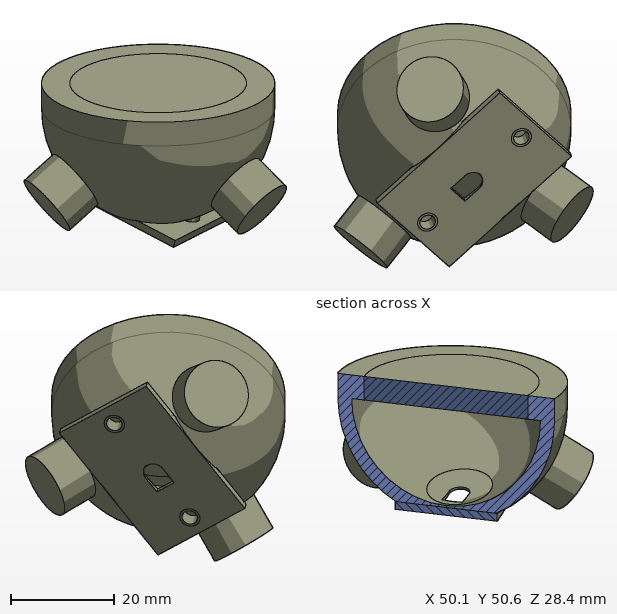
import cadquery as cq

BOWL_RADIUS = 22.5
CAVITY_RADIUS = 19.55
RIM_HEIGHT = 4.85
LID_RADIUS = 17.0

LEG_COUNT = 3
LEG_RADIUS = 6.5
LEG_REACH = 29.2
LEG_TILT = 35
LEG_PIVOT_Z = 0.45
LEG_START = 2 * LEG_RADIUS

PLATE_TILT = 15
PLATE_LENGTH = 32.4
PLATE_WIDTH = 21.0
PLATE_THICKNESS = 1.5
PLATE_BOTTOM = 20.0
PLATE_TOP = PLATE_BOTTOM - PLATE_THICKNESS

WINDOW_RADIUS = 2.1
WINDOW_ROUND_TIP = -1.45
WINDOW_SQUARE_END = 4.4

TUBE_SPACING = 24.8
TUBE_RADIUS = 1.95
TUBE_BORE_RADIUS = 1.5
TUBE_LENGTH = 2 * PLATE_THICKNESS


def tilt(body):
    """Turn a body from the level plate position to its tilted one."""
    return body.rotate((0, 0, 0), (0, 1, 0), PLATE_TILT)


def upright_cylinder(radius, height, bottom, x=0):
    return cq.Workplane().center(x, 0).circle(radius).extrude(height).translate((0, 0, bottom))


def half_ball(radius):
    """Lower half of a ball centred on the origin."""
    return (
        cq.Workplane("XZ")
        .lineTo(0, -radius)
        .radiusArc((radius, 0), -radius)
        .close()
        .revolve(360, (0, 0, 0), (0, 1, 0))
    )


def make_leg(angle):
    leg = upright_cylinder(LEG_RADIUS, LEG_REACH - LEG_START, LEG_START)
    leg = leg.rotate((0, 0, 0), (0, 1, 0), 90 + LEG_TILT)
    return leg.rotate((0, 0, 0), (0, 0, 1), angle).translate((0, 0, LEG_PIVOT_Z))


def tube_envelope(x):
    """Solid cylinder filling the outside of one spacer, in the level position."""
    return upright_cylinder(TUBE_RADIUS, TUBE_LENGTH, -PLATE_BOTTOM, x)


def make_tube(x):
    bore = upright_cylinder(TUBE_BORE_RADIUS, TUBE_LENGTH, -PLATE_BOTTOM, x)
    return tilt(tube_envelope(x).cut(bore))


def make_housing():
    body = half_ball(BOWL_RADIUS).union(upright_cylinder(BOWL_RADIUS, RIM_HEIGHT, 0))
    for index in range(LEG_COUNT):
        body = body.union(make_leg(index * 360 / LEG_COUNT))
    body = body.cut(half_ball(CAVITY_RADIUS))
    body = body.cut(upright_cylinder(LID_RADIUS, RIM_HEIGHT, 0))

    relief_depth = BOWL_RADIUS - PLATE_TOP
    relief = cq.Workplane().box(PLATE_LENGTH, PLATE_WIDTH, relief_depth, centered=(True, True, False))
    body = body.cut(tilt(relief.translate((0, 0, -BOWL_RADIUS))))
    for x in tube_positions:
        body = body.cut(tilt(tube_envelope(x)))
    return body


def make_plate():
    plate = cq.Workplane().box(PLATE_LENGTH, PLATE_WIDTH, PLATE_THICKNESS, centered=(True, True, False))
    arc_start = WINDOW_ROUND_TIP + WINDOW_RADIUS
    window = (
        cq.Workplane()
        .moveTo(WINDOW_SQUARE_END, -WINDOW_RADIUS)
        .lineTo(WINDOW_SQUARE_END, WINDOW_RADIUS)
        .lineTo(arc_start, WINDOW_RADIUS)
        .threePointArc((WINDOW_ROUND_TIP, 0), (arc_start, -WINDOW_RADIUS))
        .close()
        .extrude(PLATE_THICKNESS)
    )
    plate = plate.cut(window).translate((0, 0, -PLATE_BOTTOM))
    for x in tube_positions:
        plate = plate.cut(tube_envelope(x))
    return tilt(plate).cut(half_ball(CAVITY_RADIUS))


tube_positions = [-TUBE_SPACING / 2, TUBE_SPACING / 2]

housing = make_housing()
plate = make_plate()
lid = upright_cylinder(LID_RADIUS, RIM_HEIGHT, 0)
tubes = [make_tube(x) for x in tube_positions]

result = cq.Compound.makeCompound([housing.val(), plate.val(), lid.val(), *[tube.val() for tube in tubes]])